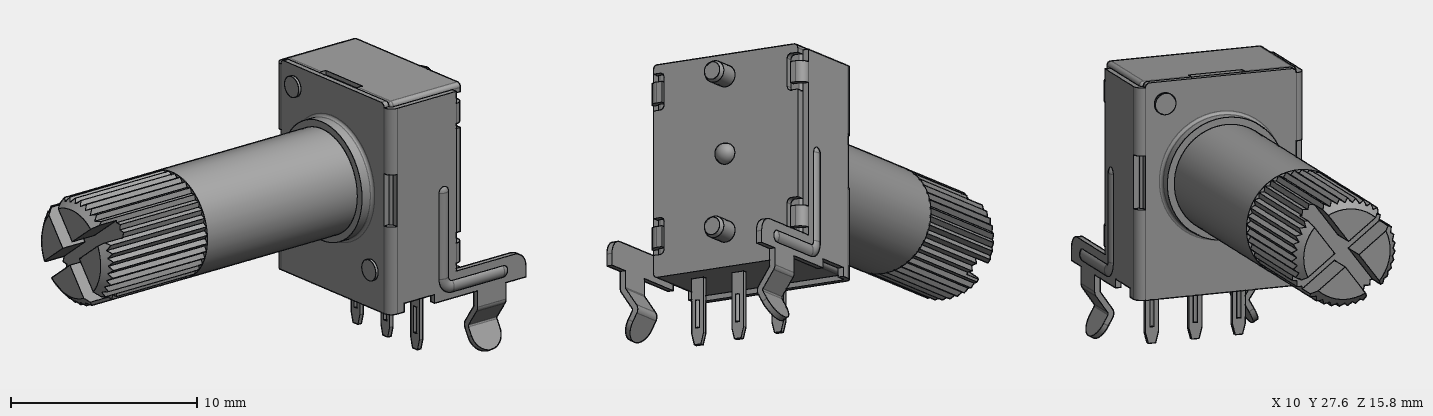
import cadquery as cq
import math


sheet = 0.33
bend_radius = 0.5
inner_bend_radius = bend_radius - sheet
cover_half_width = 4.85
wall_inside = cover_half_width - sheet
plate_half_width = cover_half_width - bend_radius
plate_top = 5.52
cover_bottom = -6.5
plate_corner_radius = 0.25
wall_top = 5.27
wall_back = 4.6
bend_window_height = 2.98
bend_window_depth = 0.47
foot_notch_front = 1.0
foot_notch_back = 3.1
foot_notch_height = 0.5

collar_radius = 3.4
collar_length = 0.75
collar_root_radius = 0.17
peg_radius = 1.2 / 2
peg_height = 4.3
boss_offset = 3.25
boss_length = 0.17

tab_height = 1.15
tab_offset = 4.0
tab_reach = 0.33
tab_back = wall_back + bend_radius
tab_front = tab_back - sheet

arm_back = 9.45
arm_top = -5.02
arm_corner_radius = 0.83
leg_width = 2.0
leg_center = 7.07
leg_middle = cover_half_width - sheet / 2
leg_shoulder = -7.53
leg_knee_x = 3.86
leg_knee_z = -8.72
leg_tip_x = 4.7
leg_tip_z = -10.18
leg_bend_radius = 0.28

bead_width = 0.65
bead_height = 0.15
bead_radius = ((bead_width / 2) ** 2 + bead_height**2) / (2 * bead_height)
bead_axis_x = cover_half_width + bead_height - bead_radius
bead_y = 3.73
bead_z = -5.82
bead_top = -0.3
bead_back = 7.85
bead_bend_radius = 0.6

body_back = 5.15
body_bottom = -6.27
body_edge_radius = 0.25
top_notch_width = 3.1
top_notch_depth = 0.47
top_notch_height = 0.25
recess_height = -2 * (tab_offset + arm_top)
recess_clearance = 0.17
recess_corner_radius = 0.25
post_end = 6.57
post_chamfer_length = 0.25
post_chamfer_width = 0.1
dome_radius = 0.58

shaft_radius = 6.0 / 2
shaft_tip = -18.15
knurl_start = -11.15
knurl_root_radius = 2.8
knurl_teeth = 40
tip_chamfer = 0.5
slot_width = 1.0
slot_depth = 1.55
slot_angle = 37

terminal_pitch = 2.5
terminal_places = [i * terminal_pitch for i in (-1, 0, 1)]
terminal_width = 0.75
terminal_thickness = 0.25
terminal_y = 3.78
terminal_tip = -9.94
terminal_taper_start = -9.33
terminal_tip_width = 0.41
terminal_insertion = 0.83
terminal_rib_radius = 0.125
terminal_rib_top = -7.5
terminal_rib_bottom = -9.03


def block(x_range, y_range, z_range):
    """Box between two values on each axis."""
    lows, highs = zip(x_range, y_range, z_range)
    size = [high - low for low, high in zip(lows, highs)]
    return cq.Workplane().box(*size, centered=False).translate(lows)


def rod(radius, x, z, y_start, y_end):
    """Cylinder along Y between two Y values."""
    plane = cq.Plane(origin=(x, y_start, z), xDir=(1, 0, 0), normal=(0, 1, 0))
    return cq.Workplane(plane).circle(radius).extrude(y_end - y_start)


def wall_sheet():
    """Left wall with its front bend, up to the edge of the flat plate."""
    sheet_profile = (
        cq.Workplane("XY", origin=(0, 0, cover_bottom))
        .moveTo(-plate_half_width, 0)
        .radiusArc((-cover_half_width, bend_radius), bend_radius)
        .lineTo(-cover_half_width, wall_back)
        .lineTo(-wall_inside, wall_back)
        .lineTo(-wall_inside, bend_radius)
        .radiusArc((-plate_half_width, sheet), -inner_bend_radius)
        .close()
    )
    wall = sheet_profile.extrude(wall_top - cover_bottom)
    half_window = bend_window_height / 2
    bend_window = block(
        (-cover_half_width, -plate_half_width), (0, bend_window_depth), (-half_window, half_window)
    )
    foot_notch = block(
        (-cover_half_width, -wall_inside),
        (foot_notch_front, foot_notch_back),
        (cover_bottom, cover_bottom + foot_notch_height),
    )
    return wall.cut(bend_window).cut(foot_notch)


def crimp_tab(z):
    """Tab that folds from the back edge of the left wall toward the middle."""
    tab_end = -plate_half_width + tab_reach
    return (
        cq.Workplane("XY", origin=(0, 0, z - tab_height / 2))
        .moveTo(-cover_half_width, wall_back)
        .radiusArc((-plate_half_width, tab_back), bend_radius)
        .lineTo(tab_end, tab_back)
        .lineTo(tab_end, tab_front)
        .lineTo(-plate_half_width, tab_front)
        .radiusArc((-wall_inside, wall_back), -inner_bend_radius)
        .close()
        .extrude(tab_height)
    )


def arm():
    """Arm that runs back from the foot of the left wall."""
    plate = block((-cover_half_width, -wall_inside), (wall_back, arm_back), (cover_bottom, arm_top))
    return plate.edges("|X and >Y and >Z").fillet(arm_corner_radius)


def leg():
    """Kinked snap-in leg with a round end, below the left arm."""
    knee = cq.Vector(-leg_knee_x, leg_center, leg_knee_z)
    tip = cq.Vector(-leg_tip_x, leg_center, leg_tip_z)
    along = (tip - knee).normalized()
    end_center = tip - along * (leg_width / 2)
    path = cq.Wire.makePolygon(
        [
            cq.Vector(-leg_middle, leg_center, cover_bottom),
            cq.Vector(-leg_middle, leg_center, leg_shoulder),
            knee,
            end_center,
        ]
    ).fillet(leg_bend_radius)
    strip = (
        cq.Workplane("XY", origin=(-leg_middle, leg_center, cover_bottom))
        .rect(sheet, leg_width)
        .sweep(cq.Workplane(path))
    )
    end_plane = cq.Plane(origin=end_center, xDir=(0, 1, 0), normal=cq.Vector(0, 1, 0).cross(along))
    half_width = leg_width / 2
    round_end = (
        cq.Workplane(end_plane)
        .moveTo(-half_width, 0)
        .threePointArc((0, half_width), (half_width, 0))
        .close()
        .extrude(sheet / 2, both=True)
    )
    return strip.union(round_end)


def bead():
    """L-shaped bead of circular section with domed ends, on the outside of the left wall."""
    top = cq.Vector(-bead_axis_x, bead_y, bead_top)
    corner = cq.Vector(-bead_axis_x, bead_y, bead_z)
    back = cq.Vector(-bead_axis_x, bead_back, bead_z)
    path = cq.Wire.makePolygon([top, corner, back]).fillet(bead_bend_radius)
    ridge = cq.Workplane("XY", origin=top).circle(bead_radius).sweep(cq.Workplane(path))
    for end in (top, back):
        ridge = ridge.union(cq.Workplane().sphere(bead_radius).translate(end))
    outside = block(
        (-cover_half_width - bead_height, -wall_inside - sheet / 2), (0, arm_back), (cover_bottom, plate_top)
    )
    return ridge.intersect(outside)


def cover_side():
    """Everything on the left of the cover: wall, tabs, arm, leg and bead."""
    side = wall_sheet().union(arm()).union(leg()).union(bead())
    for z in (tab_offset, -tab_offset):
        side = side.union(crimp_tab(z))
    return side


def cover_plate():
    """Front plate with the collar, its bore and the two bosses."""
    plate = block((-plate_half_width, plate_half_width), (0, sheet), (cover_bottom, plate_top))
    plate = plate.edges("|Y and >Z").fillet(plate_corner_radius)
    collar_foot = (
        cq.Workplane("XY")
        .moveTo(0, sheet / 2)
        .lineTo(collar_radius + collar_root_radius, sheet / 2)
        .lineTo(collar_radius + collar_root_radius, 0)
        .radiusArc((collar_radius, -collar_root_radius), -collar_root_radius)
        .lineTo(collar_radius, -collar_length)
        .lineTo(0, -collar_length)
        .close()
        .revolve(360, (0, 0, 0), (0, 1, 0))
    )
    plate = plate.union(collar_foot)
    for side in (-1, 1):
        plate = plate.union(rod(peg_radius, side * boss_offset, -side * peg_height, -boss_length, sheet / 2))
    return plate.cut(rod(shaft_radius, 0, 0, -collar_length, sheet))


def build_cover():
    left = cover_side()
    return cover_plate().union(left).union(left.mirror("YZ"))


def tab_recess(z):
    """Pocket in the left back edge of the body that takes one crimp tab."""
    inner_end = -plate_half_width + tab_reach + recess_clearance
    return (
        cq.Workplane("XY", origin=(0, 0, z - recess_height / 2))
        .moveTo(-cover_half_width, wall_back)
        .lineTo(-cover_half_width, body_back)
        .lineTo(inner_end, body_back)
        .lineTo(inner_end, tab_front)
        .lineTo(-plate_half_width, tab_front)
        .radiusArc((-wall_inside, wall_back), -inner_bend_radius)
        .close()
        .extrude(recess_height)
        .edges("|Y and >X")
        .fillet(recess_corner_radius)
    )


def back_post(z):
    """Locating post with a tapered end on the back of the body."""
    tip_radius = peg_radius - post_chamfer_width
    return (
        cq.Workplane("XY")
        .moveTo(0, body_back)
        .lineTo(peg_radius, body_back)
        .lineTo(peg_radius, post_end - post_chamfer_length)
        .lineTo(tip_radius, post_end)
        .lineTo(0, post_end)
        .close()
        .revolve(360, (0, 0, 0), (0, 1, 0))
        .translate((0, 0, z))
    )


def build_body():
    body = block((-wall_inside, wall_inside), (sheet, body_back), (body_bottom, plate_top))
    body = body.edges("|Y").fillet(body_edge_radius)
    body = body.faces("<Y").edges().fillet(inner_bend_radius)
    half_notch = top_notch_width / 2
    body = body.cut(
        block(
            (-half_notch, half_notch),
            (sheet, sheet + top_notch_depth),
            (plate_top - top_notch_height, plate_top),
        )
    )
    for z in (tab_offset, -tab_offset):
        recess = tab_recess(z)
        body = body.cut(recess).cut(recess.mirror("YZ"))
    for z in (peg_height, -peg_height):
        body = body.union(back_post(z))
    body = body.union(cq.Workplane().sphere(dome_radius).translate((0, body_back, 0)))
    for x in terminal_places:
        pocket = block(
            (x - terminal_width / 2, x + terminal_width / 2),
            (terminal_y - terminal_thickness / 2, terminal_y + terminal_thickness / 2),
            (body_bottom, body_bottom + terminal_insertion),
        )
        body = body.cut(pocket)
    return body


def knurl():
    """Length of triangular teeth as high as the shaft, with a groove at the top."""
    points = []
    for i in range(2 * knurl_teeth):
        angle = math.pi * i / knurl_teeth
        radius = knurl_root_radius if i % 2 == 0 else shaft_radius
        points.append((radius * math.sin(angle), radius * math.cos(angle)))
    outline = cq.Workplane("XZ", origin=(0, knurl_start, 0)).polyline(points).close()
    return outline.extrude(knurl_start - shaft_tip)


def tip_envelope():
    """Round bar with a 45 degree chamfer at the tip."""
    bar = rod(shaft_radius, 0, 0, shaft_tip, knurl_start)
    return bar.faces("<Y").chamfer(tip_chamfer)


def build_shaft():
    shaft = rod(shaft_radius, 0, 0, knurl_start, sheet)
    shaft = shaft.union(knurl().intersect(tip_envelope()))
    half_slot = slot_width / 2
    slot = block(
        (-shaft_radius, shaft_radius), (shaft_tip, shaft_tip + slot_depth), (-half_slot, half_slot)
    )
    for angle in (slot_angle, slot_angle + 90):
        shaft = shaft.cut(slot.rotate((0, 0, 0), (0, 1, 0), -angle))
    return shaft


def build_terminal(x):
    """Flat pin with a tapered end and a pressed rib: hollow at the front, raised at the back."""
    front = terminal_y - terminal_thickness / 2
    back = front + terminal_thickness
    half_width = terminal_width / 2
    half_tip = terminal_tip_width / 2
    top = body_bottom + terminal_insertion
    pin = (
        cq.Workplane("XZ", origin=(0, back, 0))
        .polyline(
            [
                (-half_width, top),
                (half_width, top),
                (half_width, terminal_taper_start),
                (half_tip, terminal_tip),
                (-half_tip, terminal_tip),
                (-half_width, terminal_taper_start),
            ]
        )
        .close()
        .extrude(terminal_thickness)
    )
    rib_length = terminal_rib_top - terminal_rib_bottom
    rib_base = cq.Workplane("XY", origin=(0, 0, terminal_rib_bottom))
    rib = rib_base.circle(terminal_rib_radius).extrude(rib_length)
    pin = pin.union(rib.translate((0, back, 0))).cut(rib.translate((0, front, 0)))
    return pin.translate((x, 0, 0))


cover = build_cover()
body = build_body()
shaft = build_shaft()
terminals = [build_terminal(x) for x in terminal_places]

result = cq.Compound.makeCompound(
    [cover.val(), body.val(), shaft.val(), *[terminal.val() for terminal in terminals]]
)